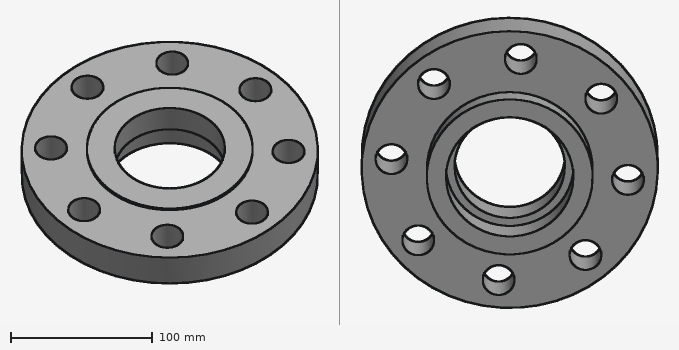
import cadquery as cq

flange_diameter = 209.5
flange_thickness = 26.8

face_diameter = 117.3
face_height = 1.6
hub_diameter = 117.3
total_height = 43.0
hub_height = total_height - flange_thickness - face_height

bore_diameter = 78.0
socket_diameter = 90.1
bore_depth = 22.0
socket_depth = total_height - bore_depth

bolt_count = 8
bolt_hole_diameter = 22.5
bolt_circle_diameter = 168.0
first_bolt_angle = 360 / bolt_count / 2


def disc(diameter, bottom, height):
    """Cylinder about the Z axis."""
    return cq.Workplane("XY").workplane(offset=bottom).circle(diameter / 2).extrude(height)


hub = disc(hub_diameter, 0, hub_height)
flange = disc(flange_diameter, hub_height, flange_thickness)
raised_face = disc(face_diameter, hub_height + flange_thickness, face_height)
body = hub.union(flange).union(raised_face)

bore = disc(bore_diameter, 0, total_height)
socket = disc(socket_diameter, 0, socket_depth)

bolt_holes = (
    cq.Workplane("XY")
    .polarArray(bolt_circle_diameter / 2, first_bolt_angle, 360, bolt_count)
    .circle(bolt_hole_diameter / 2)
    .extrude(total_height)
)

result = body.cut(bore).cut(socket).cut(bolt_holes)